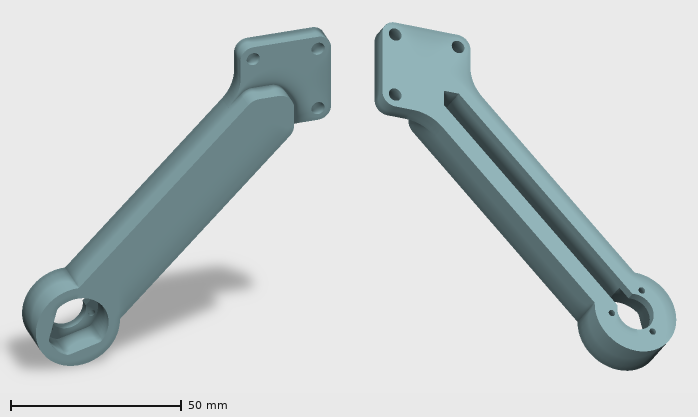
import cadquery as cq
import math

SPAN = 93.5
THICKNESS = 13.0

PLATE_SIDE = 28.0
PLATE_THICKNESS = 6.0
PLATE_CORNER_RADIUS = 4.0
PLATE_HOLE_DIAMETER = 4.0
PLATE_HOLE_INSET = 4.0
PLATE_HOLE_SPACING = 20.0
BLEND_RADIUS = 13.0

ARM_WIDTH = 18.0
ARM_END_INSET = 13.7
ARM_END_RADIUS = 5.0

GROOVE_WIDTH = 6.7
GROOVE_DEPTH = 10.0
GROOVE_END_INSET = 19.55

HUB_RADIUS = 13.0
BORE_DIAMETER = 11.6
COUNTERBORE_DIAMETER = 19.0
FLAT_DISTANCE = 7.95
FLAT_ANGLES = (-75.0, 165.0)
FLAT_CORNER_RADIUS = 2.0
BORE_LEDGE = 3.0
HUB_HOLE_DIAMETER = 2.1
HUB_HOLE_RADIUS = 7.8
HUB_HOLE_COUNT = 3
HUB_HOLE_START = -15.0

HUB_CENTRE = HUB_RADIUS
PLATE_INNER = SPAN - PLATE_SIDE

EDGE_MARGIN = 0.1


def prism(sketch, start, end):
    """Extrude a Y-Z outline made by sketch(workplane) from x = start to x = end."""
    return sketch(cq.Workplane("YZ", origin=(start, 0, 0))).extrude(end - start)


def diagonal_strip(workplane, width, end_inset):
    """Strip from the hub centre along y = z, ending in a square corner."""
    edge_offset = width / math.sqrt(2)
    tip = SPAN - end_inset
    return workplane.polyline([
        (HUB_CENTRE + edge_offset / 2, HUB_CENTRE - edge_offset / 2),
        (tip, tip - edge_offset),
        (tip, tip),
        (tip - edge_offset, tip),
        (HUB_CENTRE - edge_offset / 2, HUB_CENTRE + edge_offset / 2),
    ]).close()


def hub_cylinder(diameter, start, end):
    """Cylinder along X about the hub axis."""
    return prism(lambda wp: wp.center(HUB_CENTRE, HUB_CENTRE).circle(diameter / 2), start, end)


def make_counterbore():
    """Counterbore volume: a cylinder with two flats, mirrored about y = z, and rounded corners."""
    cutter = hub_cylinder(COUNTERBORE_DIAMETER, BORE_LEDGE, THICKNESS)
    for angle in FLAT_ANGLES:
        beyond_flat = (
            cq.Workplane("YZ", origin=(BORE_LEDGE, 0, 0))
            .center(FLAT_DISTANCE + HUB_RADIUS / 2, 0)
            .rect(HUB_RADIUS, 2 * HUB_RADIUS)
            .extrude(THICKNESS - BORE_LEDGE)
            .rotate((0, 0, 0), (1, 0, 0), angle)
            .translate((0, HUB_CENTRE, HUB_CENTRE))
        )
        cutter = cutter.cut(beyond_flat)
    corners = cutter.edges("|X").edges(cq.selectors.BoxSelector(
        (0, 0, 0), (THICKNESS, HUB_CENTRE + COUNTERBORE_DIAMETER / 2 - EDGE_MARGIN, 2 * HUB_CENTRE)
    ))
    return corners.fillet(FLAT_CORNER_RADIUS)


def near_edges(low, high):
    """Selector for the X edges whose Y and Z both lie between low and high."""
    return cq.selectors.BoxSelector((-THICKNESS, low, low), (2 * THICKNESS, high, high))


def make_arm():
    """Full-thickness arm with its three end corners rounded."""
    shoulder = SPAN - ARM_END_INSET - ARM_WIDTH / math.sqrt(2)
    arm = prism(lambda wp: diagonal_strip(wp, ARM_WIDTH, ARM_END_INSET), 0, THICKNESS)
    return arm.edges("|X").edges(near_edges(shoulder - EDGE_MARGIN, SPAN)).fillet(ARM_END_RADIUS)


def make_plate():
    """Mounting plate with a short arm stub that carries the concave blends."""
    plate_centre = SPAN - PLATE_SIDE / 2
    plate = prism(
        lambda wp: wp.center(plate_centre, plate_centre).rect(PLATE_SIDE, PLATE_SIDE), 0, PLATE_THICKNESS
    )
    outer_corners = plate.edges("|X").edges(cq.selectors.SumSelector(
        cq.selectors.DirectionMinMaxSelector(cq.Vector(0, 1, 0), True),
        cq.selectors.DirectionMinMaxSelector(cq.Vector(0, 0, 1), True),
    ))
    plate = outer_corners.fillet(PLATE_CORNER_RADIUS)
    plate = plate.union(prism(lambda wp: diagonal_strip(wp, ARM_WIDTH, ARM_END_INSET), 0, PLATE_THICKNESS))
    joint = PLATE_INNER + ARM_WIDTH / math.sqrt(2)
    concave_corners = plate.edges("|X").edges(near_edges(PLATE_INNER - EDGE_MARGIN, joint + EDGE_MARGIN))
    return concave_corners.fillet(BLEND_RADIUS)


def plate_holes():
    """Three through holes, one in each outer corner of the plate."""
    outer = SPAN - PLATE_HOLE_INSET
    inner = outer - PLATE_HOLE_SPACING
    centres = [(outer, outer), (inner, outer), (outer, inner)]
    return prism(lambda wp: wp.pushPoints(centres).circle(PLATE_HOLE_DIAMETER / 2), 0, THICKNESS)


def hub_holes():
    """Ring of small through holes around the bore."""
    return prism(
        lambda wp: wp.center(HUB_CENTRE, HUB_CENTRE)
        .polarArray(HUB_HOLE_RADIUS, HUB_HOLE_START, 360, HUB_HOLE_COUNT)
        .circle(HUB_HOLE_DIAMETER / 2),
        0, THICKNESS,
    )


result = (
    make_arm()
    .union(make_plate())
    .union(hub_cylinder(2 * HUB_RADIUS, 0, THICKNESS))
    .cut(prism(lambda wp: diagonal_strip(wp, GROOVE_WIDTH, GROOVE_END_INSET), 0, GROOVE_DEPTH))
    .cut(hub_cylinder(BORE_DIAMETER, 0, THICKNESS))
    .cut(make_counterbore())
    .cut(plate_holes())
    .cut(hub_holes())
)